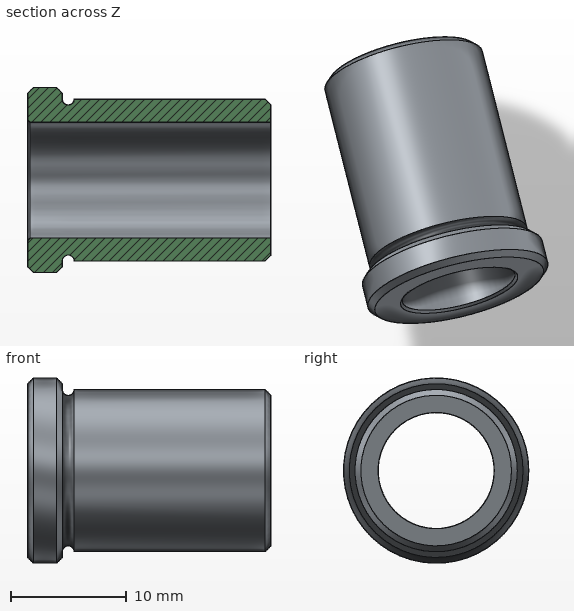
import cadquery as cq

length = 21.0
flange_diameter = 16.0
body_diameter = 14.0
bore_diameter = 10.0
flange_thickness = 3.0
edge_chamfer = 0.5
bore_chamfer = 0.2
groove_radius = 0.5

flange_radius = flange_diameter / 2
body_radius = body_diameter / 2
bore_radius = bore_diameter / 2
groove_center = flange_thickness + groove_radius
groove_end = flange_thickness + 2 * groove_radius


def make_bushing():
    """Revolve the wall section, with X along the axis and Y as the radius."""
    section = (
        cq.Workplane("XY")
        .moveTo(0, bore_radius + bore_chamfer)
        .lineTo(0, flange_radius - edge_chamfer)
        .lineTo(edge_chamfer, flange_radius)
        .lineTo(flange_thickness - edge_chamfer, flange_radius)
        .lineTo(flange_thickness, flange_radius - edge_chamfer)
        .lineTo(flange_thickness, body_radius)
        .threePointArc((groove_center, body_radius - groove_radius), (groove_end, body_radius))
        .lineTo(length - edge_chamfer, body_radius)
        .lineTo(length, body_radius - edge_chamfer)
        .lineTo(length, bore_radius)
        .lineTo(bore_chamfer, bore_radius)
        .close()
    )
    return section.revolve(360, (0, 0, 0), (1, 0, 0))


result = make_bushing()